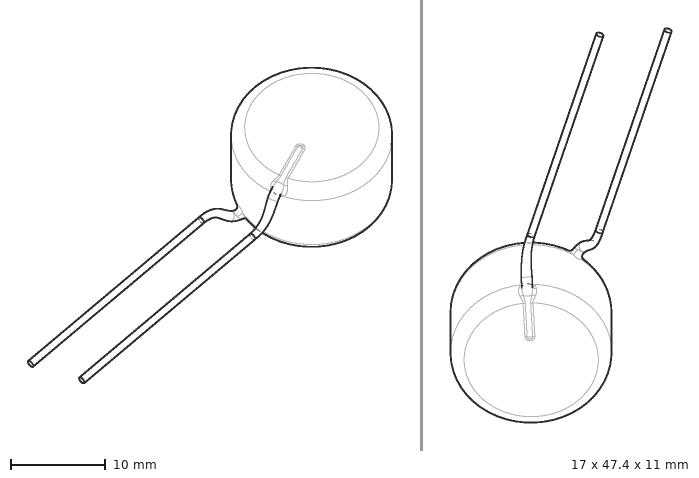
import cadquery as cq
import math

disc_diameter = 17.0
disc_height = 10.7
edge_radius = 1.4
meniscus_radius = 0.47

sleeve_radius = 0.55
wire_radius = 0.405
lead_rise = 0.15
lead_spacing = 7.5
leg_level = 2.1
leg_start = 12.9
overall_length = 47.4
root_offset = 0.95
root_reach = 2.75
bend_reach = 7.6
splay_angle = 18.9
slope_offset = 3.15
slope_reach = 9.15
slope_level = 4.45
slope_angle = 38.0

EDGE_SAMPLES = (0.25, 0.5, 0.75)
TOUCH_GAP = 0.0005

disc_radius = disc_diameter / 2
leg_offset = lead_spacing / 2
leg_end = overall_length - disc_radius
face_level = disc_height / 2 + lead_rise - sleeve_radius
splay = math.radians(splay_angle)
slope = math.radians(slope_angle)
bend_offset = root_offset + (bend_reach - root_reach) * math.tan(splay)

root = cq.Vector(root_offset, -root_reach, face_level)
bend = cq.Vector(bend_offset, -bend_reach, face_level)
crank = cq.Vector(slope_offset, -slope_reach, slope_level)
knee = cq.Vector(leg_offset, -leg_start, leg_level)

face_direction = cq.Vector(math.sin(splay), -math.cos(splay), 0)
slope_direction = face_direction * math.cos(slope) - cq.Vector(0, 0, math.sin(slope))
leg_direction = cq.Vector(0, -1, 0)


def curve(start, end, start_direction, end_direction):
    """Smooth centre line between two points with given end directions."""
    return cq.Wire.assembleEdges([cq.Edge.makeSpline([start, end], tangents=[start_direction, end_direction])])


def round_section(centre, direction, radius):
    """Circle square to the centre line."""
    return cq.Wire.makeCircle(radius, centre, direction)


def tube(path, *sections):
    """Solid swept along a path through one or more round sections."""
    if len(sections) == 1:
        return cq.Solid.sweep(sections[0], [], path)
    return cq.Solid.sweep_multi(list(sections), path)


def make_sleeve():
    """Upper sleeve: round-ended stretch on the face, bend and tapering slope."""
    root_section = round_section(root, face_direction, sleeve_radius)
    bend_section = round_section(bend, face_direction, sleeve_radius)
    crank_section = round_section(crank, slope_direction, sleeve_radius)
    knee_section = round_section(knee, leg_direction, wire_radius)

    inner_end = cq.Workplane("XY").sphere(sleeve_radius).translate(root)
    face_stretch = tube(cq.Wire.assembleEdges([cq.Edge.makeLine(root, bend)]), root_section)
    bend_stretch = tube(curve(bend, crank, face_direction, slope_direction), bend_section)
    taper = tube(curve(crank, knee, slope_direction, leg_direction), crank_section, knee_section)
    return inner_end.union(face_stretch).union(bend_stretch).union(taper)


def lies_on(edge, faces):
    """Whether an edge runs along one of the faces, or along several in turn."""
    spots = [cq.Vertex.makeVertex(*edge.positionAt(part).toTuple()) for part in EDGE_SAMPLES]
    return all(min(face.distance(spot) for face in faces) < TOUCH_GAP for spot in spots)


def opposite(shape):
    """The same shape turned half a turn about the leg direction."""
    return shape.rotate((0, 0, 0), (0, 1, 0), 180)


def make_coating():
    """Round-edged disc and its two sleeves, blended together along their seams."""
    disc = cq.Workplane("XY").workplane(offset=-disc_height / 2).circle(disc_radius).extrude(disc_height)
    disc = disc.edges("%CIRCLE").fillet(edge_radius)
    upper_sleeve = make_sleeve()
    sleeves = [upper_sleeve, opposite(upper_sleeve)]
    joined = disc
    for sleeve in sleeves:
        joined = joined.union(sleeve, clean=False)
    disc_faces = disc.faces().vals()
    sleeve_faces = [face for sleeve in sleeves for face in sleeve.faces().vals()]
    seams = [edge for edge in joined.edges().vals() if lies_on(edge, disc_faces) and lies_on(edge, sleeve_faces)]
    return joined.newObject(seams).fillet(meniscus_radius)


def make_lead():
    """Upper bare lead: a straight round wire from the end of the sleeve."""
    return cq.Workplane(cq.Plane(origin=knee, normal=leg_direction)).circle(wire_radius).extrude(leg_end - leg_start)


coating = make_coating()
upper_lead = make_lead()
leads = [upper_lead, opposite(upper_lead)]

result = cq.Compound.makeCompound([coating.val(), *[lead.val() for lead in leads]])